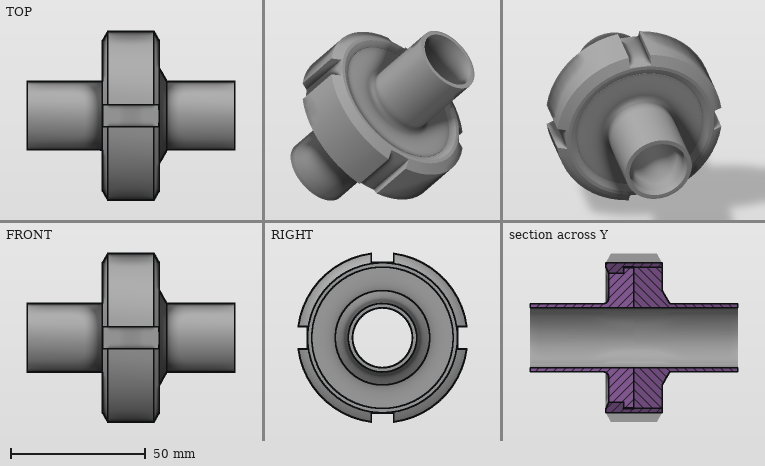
import cadquery as cq
import math

total_length = 77.0
pipe_radius = 25.4 / 2
bore_radius = 22.1 / 2

nut_start = 27.9
nut_width = 21.2
nut_end = nut_start + nut_width
nut_radius = 63.1 / 2
nut_face_radius = 27.8
nut_chamfer_length = 2.1
nut_mouth_radius = 26.5
nut_neck_radius = 48.2 / 2
nut_bore_radius = 52.4 / 2
slot_count = 4
slot_width = 8.2
slot_floor_radius = 27.95

mouth_depth = 1.15

liner_face = nut_start + mouth_depth
liner_clearance = 0.1
liner_neck_radius = nut_neck_radius - liner_clearance
flange_radius = 52.0 / 2
flange_start = 34.65
flange_end = 38.5
fillet_radius = 2.0

cone_radius = 35.0 / 2
cone_angle = math.radians(30)
cone_length = (cone_radius - pipe_radius) * math.tan(cone_angle)


def revolve_about_x(profile):
    """Revolve a closed profile of (axial, radial) points about the X axis."""
    return profile.close().revolve(360, (0, 0, 0), (1, 0, 0))


def make_liner():
    """Pipe with a fillet into a stepped disc that the nut shoulder retains."""
    fillet_middle = fillet_radius * math.sqrt(0.5)
    fillet_start = liner_face - fillet_radius
    fillet_top = pipe_radius + fillet_radius
    return revolve_about_x(
        cq.Workplane("XY")
        .moveTo(0, bore_radius)
        .lineTo(0, pipe_radius)
        .lineTo(fillet_start, pipe_radius)
        .threePointArc(
            (fillet_start + fillet_middle, fillet_top - fillet_middle),
            (liner_face, fillet_top),
        )
        .lineTo(liner_face, liner_neck_radius)
        .lineTo(flange_start, liner_neck_radius)
        .lineTo(flange_start, flange_radius)
        .lineTo(flange_end, flange_radius)
        .lineTo(flange_end, bore_radius)
    )


def make_male_end():
    """Disc filling the nut bore, with a cone down to the outgoing pipe."""
    return revolve_about_x(
        cq.Workplane("XY")
        .moveTo(flange_end, bore_radius)
        .lineTo(flange_end, nut_bore_radius)
        .lineTo(nut_end, nut_bore_radius)
        .lineTo(nut_end, cone_radius)
        .lineTo(nut_end + cone_length, pipe_radius)
        .lineTo(total_length, pipe_radius)
        .lineTo(total_length, bore_radius)
    )


def make_nut_ring():
    """Chamfered ring with a tapered mouth, a neck and a wider bore."""
    return revolve_about_x(
        cq.Workplane("XY")
        .moveTo(nut_start, nut_mouth_radius)
        .lineTo(nut_start, nut_face_radius)
        .lineTo(nut_start + nut_chamfer_length, nut_radius)
        .lineTo(nut_end - nut_chamfer_length, nut_radius)
        .lineTo(nut_end, nut_face_radius)
        .lineTo(nut_end, nut_bore_radius)
        .lineTo(flange_start, nut_bore_radius)
        .lineTo(flange_start, nut_neck_radius)
        .lineTo(liner_face, nut_neck_radius)
    )


def make_nut():
    """Nut ring with spanner slots spaced evenly around its rim."""
    nut = make_nut_ring()
    slot = (
        cq.Workplane("XY")
        .box(nut_width, slot_width, slot_width, centered=(False, True, False))
        .translate((nut_start, 0, slot_floor_radius))
    )
    for index in range(slot_count):
        angle = index * 360 / slot_count
        nut = nut.cut(slot.rotate((0, 0, 0), (1, 0, 0), angle))
    return nut


liner = make_liner()
male_end = make_male_end()
nut = make_nut()
result = cq.Compound.makeCompound([liner.val(), male_end.val(), nut.val()])